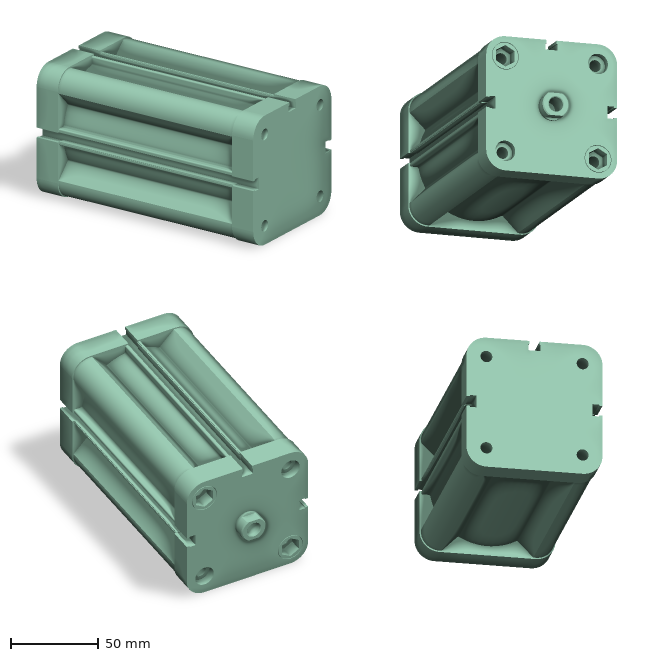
import cadquery as cq
import math

LENGTH = 158.0
SIDE = 79.5
HALF = SIDE / 2
CAP_THICK = 14.7
FRONT_X = 7.7
BARREL_START = FRONT_X + CAP_THICK
BARREL_END = LENGTH - CAP_THICK
BARREL_LENGTH = BARREL_END - BARREL_START

BORE_OFFSET = 28.1
BORE_DIA = 7.0
COUNTERBORE_DIA = 12.0
COUNTERBORE_DEPTH = 5.2
HEX_FLATS = 11.0
HEX_DEPTH = 7.9
RING_OUTER_DIA = 16.3
RING_GAP = 0.3
RING_DEPTH = 1.6
CORNERS = [(sy * BORE_OFFSET, sz * BORE_OFFSET) for sy in (1, -1) for sz in (1, -1)]
SCREW_CORNERS = [(y, z) for y, z in CORNERS if y * z > 0]
COUNTERBORE_CORNERS = [(y, z) for y, z in CORNERS if y * z < 0]

SLOT_ANGLES = (0, 90, -90)
SLOT_FLOOR = 34.0
CAP_SLOT_HALF = 3.6
CAP_MOUTH_HALF = 3.0
CAP_MOUTH_DEPTH = 1.9
BARREL_SLOT_HALF = 3.2
BARREL_MOUTH_HALF = 2.8
MOUTH_STEP_HALF = 3.3
MOUTH_STEP_DEPTH = 0.3

CORNER_GAP = 0.8
CORNER_RADIUS = HALF - BORE_OFFSET - CORNER_GAP
CORE_RADIUS = 34.0
ARM_HALF = 8.5
ARM_FILLET = 0.8
RAIL_TOP = 38.7
RAIL_HALF = 5.0
RAIL_ROUND = 0.8
RAIL_FILLET = 1.1
LIP_THICK = 1.5

ROD_DIA = 16.0
ROD_CHAMFER = 0.6
FLAT_WIDTH = 13.3
FLAT_LENGTH = 6.0
FLAT_RUNOUT = 0.5
ROD_HOLE_DIA = 8.5
ROD_HOLE_CHAMFER = 0.5
ROD_HOLE_DEPTH = 14.2
DRILL_TIP_ANGLE = 118.0


def section(x):
    """Sketch plane across the axis at X = x; local axes are Y and Z."""
    return cq.Workplane("YZ", origin=(x, 0, 0))


def about_axis(shape, angle):
    """Turn a shape about the cylinder axis."""
    return shape.rotate((0, 0, 0), (1, 0, 0), angle)


def block(x, length, half_width, bottom, top):
    """Block centred on Y = 0, between two heights."""
    profile = section(x).center(0, (bottom + top) / 2).rect(2 * half_width, top - bottom)
    return profile.extrude(length)


def cut_slots(body, x, length, channel_half, mouth_half, lip_bottom):
    """Cut the T-shaped slots: a narrow mouth above a wider channel."""
    channel = block(x, length, channel_half, SLOT_FLOOR, lip_bottom)
    slot = channel.union(block(x, length, mouth_half, SLOT_FLOOR, HALF))
    for angle in SLOT_ANGLES:
        body = body.cut(about_axis(slot, angle))
    return body


def make_cap(x):
    """Square end cap with rounded corners, slots and four through bores."""
    cap = section(x).rect(SIDE, SIDE).extrude(CAP_THICK)
    cap = cap.edges("|X").fillet(HALF - BORE_OFFSET)
    cap = cut_slots(cap, x, CAP_THICK, CAP_SLOT_HALF, CAP_MOUTH_HALF, HALF - CAP_MOUTH_DEPTH)
    return cap.cut(section(x).pushPoints(CORNERS).circle(BORE_DIA / 2).extrude(CAP_THICK))


def make_front_cap():
    """Cap with the rod hole, two counterbores and two ringed hexagon sockets."""
    face = section(FRONT_X)
    cap = make_cap(FRONT_X)
    cap = cap.cut(face.circle(ROD_DIA / 2).extrude(CAP_THICK))
    counterbores = face.pushPoints(COUNTERBORE_CORNERS).circle(COUNTERBORE_DIA / 2)
    cap = cap.cut(counterbores.extrude(COUNTERBORE_DEPTH))
    socket = face.polygon(6, HEX_FLATS / math.cos(math.pi / 6)).extrude(HEX_DEPTH)
    socket = about_axis(socket, 90)
    ring_radius = RING_OUTER_DIA / 2
    groove = face.circle(ring_radius).circle(ring_radius - RING_GAP).extrude(RING_DEPTH)
    for y, z in SCREW_CORNERS:
        cap = cap.cut(socket.translate((0, y, z)))
        cap = cap.cut(groove.translate((0, y, z)))
    return cap


def make_arms():
    """Diagonal arms from the core to the corner tubes, cut flat along their sides."""
    start = section(BARREL_START)
    tubes = start.pushPoints(CORNERS).circle(CORNER_RADIUS).extrude(BARREL_LENGTH)
    diagonal = 2 * math.hypot(BORE_OFFSET, BORE_OFFSET)
    strip = start.rect(diagonal + 2 * CORNER_RADIUS, 2 * ARM_HALF).extrude(BARREL_LENGTH)
    inner = start.rect(diagonal, 2 * ARM_HALF).extrude(BARREL_LENGTH)
    strips = about_axis(strip, 45).union(about_axis(strip, -45))
    inners = about_axis(inner, 45).union(about_axis(inner, -45))
    return tubes.intersect(strips).union(inners)


def make_rail():
    """Raised rail on the +Z side of the barrel: rounded shoulders, filleted feet, stepped top."""
    foot_half = RAIL_HALF + RAIL_FILLET
    foot_z = math.sqrt(CORE_RADIUS**2 - foot_half**2)
    profile = (
        section(BARREL_START)
        .moveTo(-foot_half, 0)
        .lineTo(foot_half, 0)
        .lineTo(foot_half, foot_z)
        .radiusArc((RAIL_HALF, foot_z + RAIL_FILLET), RAIL_FILLET)
        .lineTo(RAIL_HALF, RAIL_TOP - RAIL_ROUND)
        .radiusArc((RAIL_HALF - RAIL_ROUND, RAIL_TOP), -RAIL_ROUND)
        .lineTo(RAIL_ROUND - RAIL_HALF, RAIL_TOP)
        .radiusArc((-RAIL_HALF, RAIL_TOP - RAIL_ROUND), -RAIL_ROUND)
        .lineTo(-RAIL_HALF, foot_z + RAIL_FILLET)
        .radiusArc((-foot_half, foot_z), RAIL_FILLET)
        .close()
    )
    step = block(BARREL_START, BARREL_LENGTH, MOUTH_STEP_HALF, RAIL_TOP - MOUTH_STEP_DEPTH, RAIL_TOP)
    return profile.extrude(BARREL_LENGTH).cut(step)


def core_corners():
    """Box around the edges where the arm sides meet the core."""
    along = math.sqrt(CORE_RADIUS**2 - ARM_HALF**2)
    reach = (along + ARM_HALF) / math.sqrt(2) + ARM_FILLET
    return cq.selectors.BoxSelector((0, -reach, -reach), (LENGTH, reach, reach))


def make_barrel():
    """Extruded barrel: round core, diagonal arms and slotted rails."""
    start = section(BARREL_START)
    barrel = start.circle(CORE_RADIUS).extrude(BARREL_LENGTH).union(make_arms())
    barrel = barrel.edges("|X").edges(core_corners()).fillet(ARM_FILLET)
    for angle in SLOT_ANGLES:
        barrel = barrel.union(about_axis(make_rail(), angle))
    barrel = cut_slots(
        barrel, BARREL_START, BARREL_LENGTH, BARREL_SLOT_HALF, BARREL_MOUTH_HALF, RAIL_TOP - LIP_THICK
    )
    return barrel.cut(start.pushPoints(CORNERS).circle(BORE_DIA / 2).extrude(BARREL_LENGTH))


def make_rod():
    """Piston rod with two wrench flats and a drilled hole in its tip."""
    radius = ROD_DIA / 2
    rod = section(0).circle(radius).extrude(BARREL_START)
    rod = rod.faces("<X").chamfer(ROD_CHAMFER)
    flat = (
        cq.Workplane("XZ")
        .moveTo(0, FLAT_WIDTH / 2)
        .lineTo(FLAT_LENGTH, FLAT_WIDTH / 2)
        .lineTo(FLAT_LENGTH + FLAT_RUNOUT, radius)
        .lineTo(0, radius)
        .close()
        .extrude(radius, both=True)
    )
    rod = rod.cut(flat).cut(about_axis(flat, 180))
    hole_radius = ROD_HOLE_DIA / 2
    tip = hole_radius / math.tan(math.radians(DRILL_TIP_ANGLE / 2))
    hole = (
        cq.Workplane("XY")
        .moveTo(0, 0)
        .lineTo(0, hole_radius + ROD_HOLE_CHAMFER)
        .lineTo(ROD_HOLE_CHAMFER, hole_radius)
        .lineTo(ROD_HOLE_DEPTH, hole_radius)
        .lineTo(ROD_HOLE_DEPTH + tip, 0)
        .close()
        .revolve(360, (0, 0, 0), (1, 0, 0))
    )
    return rod.cut(hole)


front_cap = make_front_cap()
barrel = make_barrel()
rear_cap = make_cap(BARREL_END)
rod = make_rod()

result = cq.Compound.makeCompound([front_cap.val(), barrel.val(), rear_cap.val(), rod.val()])